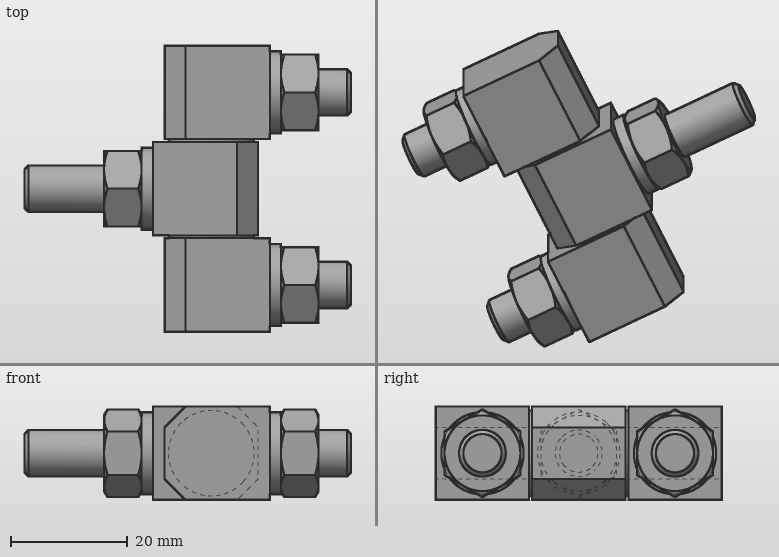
import cadquery as cq
import math

block_size = 16.0
block_front = 10.0
block_back = block_size / 2
block_chamfer = 3.6
overall_width = 49.0
block_pitch = (overall_width - block_size) / 2

pivot_diameter = 14.7

washer_diameter = 14.1
washer_thickness = 1.9
nut_across_flats = 13.0
nut_thickness = 6.45
nut_chamfer_angle = 30
stud_diameter = 8.0
stud_chamfer = 0.7

overall_length = 56
long_stud_reach = 32.05
short_stud_reach = overall_length - long_stud_reach


def cylinder_along_x(diameter, start, length):
    return cq.Workplane("YZ", origin=(start, 0, 0)).circle(diameter / 2).extrude(length)


def make_nut(start):
    """Hexagon nut with corners at top and bottom, and conically chamfered ends."""
    corner_radius = nut_across_flats / math.sqrt(3)
    flat_radius = nut_across_flats / 2
    chamfer_depth = (corner_radius - flat_radius) * math.tan(math.radians(nut_chamfer_angle))
    end = start + nut_thickness
    hexagon = (
        cq.Workplane("YZ", origin=(start, 0, 0))
        .transformed(rotate=(0, 0, 90))
        .polygon(6, 2 * corner_radius)
        .extrude(nut_thickness)
    )
    chamfer_envelope = (
        cq.Workplane("XY")
        .moveTo(start, 0)
        .lineTo(start, flat_radius)
        .lineTo(start + chamfer_depth, corner_radius)
        .lineTo(end - chamfer_depth, corner_radius)
        .lineTo(end, flat_radius)
        .lineTo(end, 0)
        .close()
        .revolve(360, (0, 0, 0), (1, 0, 0))
    )
    return hexagon.intersect(chamfer_envelope)


def make_link(stud_reach):
    """Block with its stud, washer and nut pointing along +X."""
    block = (
        cq.Workplane("XY")
        .box(block_front + block_back, block_size, block_size)
        .translate(((block_front - block_back) / 2, 0, 0))
        .faces("<X")
        .edges("|Y")
        .chamfer(block_chamfer)
    )
    washer = cylinder_along_x(washer_diameter, block_front, washer_thickness)
    nut = make_nut(block_front + washer_thickness)
    stud = cylinder_along_x(stud_diameter, 0, stud_reach).faces(">X").chamfer(stud_chamfer)
    return block.union(washer).union(nut).union(stud)


result = make_link(long_stud_reach).rotate((0, 0, 0), (0, 0, 1), 180)
for side in (-1, 1):
    result = result.union(make_link(short_stud_reach).translate((0, side * block_pitch, 0)))

pivot = cq.Workplane("XZ").circle(pivot_diameter / 2).extrude(block_pitch, both=True)
result = result.union(pivot)